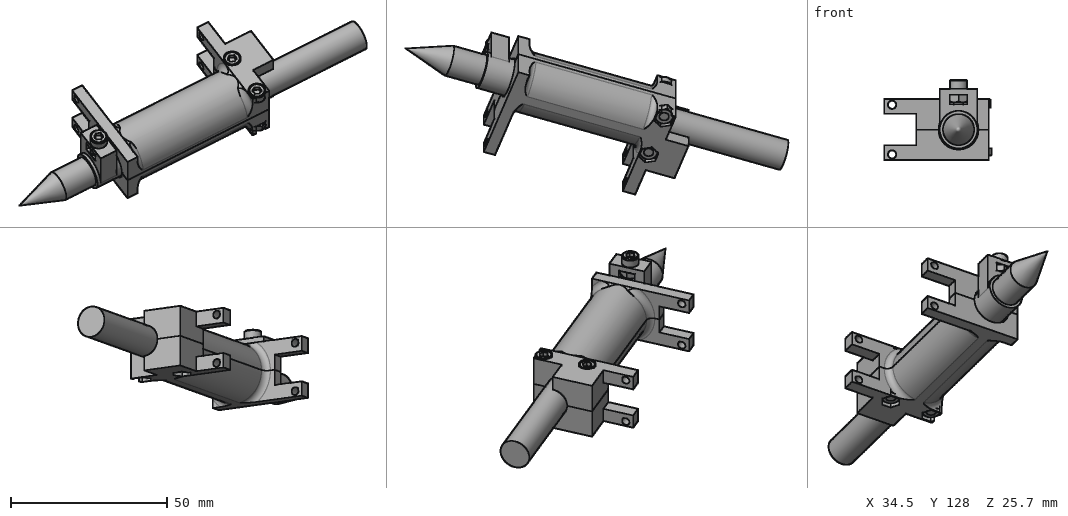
import cadquery as cq
import math


rod_radius = 5.0
rod_length = 128.0
cone_length = 14.7

barrel_radius = 9.9
housing_top = barrel_radius
housing_bottom = -9.7
housing_right = 9.7
housing_left = -23.8
front_plate_start = 34.8
front_plate_end = 38.7
rear_plate_start = 81.9
rear_ear_end = rear_plate_start + 4.2
rear_lug_end = 88.2
rear_block_end = 95.9
notch_left = -13.6
notch_half_height = 5.0
fillet_radius = 2.0
crown_slope = 20
fade_angle = math.acos(housing_top / (barrel_radius + fillet_radius))

ear_hole_diameter = 2.5
ear_hole_inset = 2.5
ear_hole_z = 8.0

head_radius = 2.75
head_height = 3.0
head_chamfer = 0.4
shank_radius = 1.5
socket_width = 2.5
socket_depth = 1.5
nut_width = 5.5
nut_height = 2.4
nut_chamfer = 0.4
clamp_screw_x = 7.5
clamp_screw_y = 85.0
clamp_nut_top = -5.9

collar_start = 25.9
collar_radius = 6.0
collar_hole_radius = 6.4
tower_start = 27.0
tower_depth = 6.0
tower_top = 13.0
slot_top = 11.1
slot_height = 3.1
tower_y = tower_start + tower_depth / 2

HEX_SIDES = 6
hex_corner_ratio = 1 / math.cos(math.pi / HEX_SIDES)


def block(x0, x1, y0, y1, z0, z1):
    """Box between two opposite corners."""
    return cq.Workplane("XY").box(x1 - x0, y1 - y0, z1 - z0, centered=False).translate((x0, y0, z0))


def cylinder_along_y(radius, y0, y1):
    """Cylinder on the rod axis from y0 to y1."""
    return cq.Workplane("XZ", origin=(0, y0, 0)).circle(radius).extrude(y0 - y1)


def cylinder_along_z(radius, x, y, z0, z1):
    """Upright cylinder from z0 to z1."""
    return cq.Workplane("XY", origin=(x, y, z0)).circle(radius).extrude(z1 - z0)


def hex_along_z(width, x, y, z0, z1, turn=0):
    """Upright hexagonal prism, with corners along X before it is turned about its own axis."""
    prism = cq.Workplane("XY").polygon(HEX_SIDES, width * hex_corner_ratio).extrude(z1 - z0)
    return prism.rotate((0, 0, 0), (0, 0, 1), turn).translate((x, y, z0))


def make_rod():
    """Round rod turned to a point at its front end."""
    outline = [(0, 0), (rod_radius, cone_length), (rod_radius, rod_length), (0, rod_length)]
    return cq.Workplane("XY").polyline(outline).close().revolve(360, (0, 0, 0), (0, 1, 0))


def make_crown_clearance():
    """V-shaped space over the barrel crown, where the flare leaves the barrel bare."""
    end = front_plate_end + fillet_radius
    middle_x = barrel_radius * math.sin(fade_angle / 2)
    middle_drop = housing_top - (barrel_radius + fillet_radius) * math.cos(fade_angle / 2)
    middle_y = front_plate_end + math.sqrt(fillet_radius**2 - middle_drop**2)
    end_x = barrel_radius * math.sin(fade_angle)
    return (
        cq.Workplane("XY")
        .moveTo(0, front_plate_end)
        .threePointArc((middle_x, middle_y), (end_x, end))
        .lineTo(-end_x, end)
        .threePointArc((-middle_x, middle_y), (0, front_plate_end))
        .close()
        .extrude(housing_top)
    )


def make_flare():
    """Fillet between barrel and front plate, sloping down from the plate's top edge."""
    end = front_plate_end + fillet_radius
    arc_reach = fillet_radius * (1 - math.sqrt(0.5))
    ring = (
        cq.Workplane("XY")
        .moveTo(0, front_plate_end)
        .lineTo(barrel_radius + fillet_radius, front_plate_end)
        .threePointArc(
            (barrel_radius + arc_reach, front_plate_end + arc_reach), (barrel_radius, end)
        )
        .lineTo(0, end)
        .close()
        .revolve(360, (0, 0, 0), (0, 1, 0))
    )
    end_top = housing_top - fillet_radius * math.tan(math.radians(crown_slope))
    limit = (
        cq.Workplane("YZ", origin=(housing_left, 0, 0))
        .moveTo(front_plate_end, housing_bottom)
        .lineTo(front_plate_end, housing_top)
        .lineTo(end, end_top)
        .lineTo(end, housing_bottom)
        .close()
        .extrude(housing_right - housing_left)
    )
    return ring.intersect(limit).cut(make_crown_clearance())


def make_housing():
    """Both housing halves in one piece, before the split and the screw holes."""
    front_plate = block(
        housing_left, housing_right, front_plate_start, front_plate_end, housing_bottom, housing_top
    )
    rear_plate = block(
        housing_left, housing_right, rear_plate_start, rear_ear_end, housing_bottom, housing_top
    )
    rear_lug = block(0, housing_right, rear_plate_start, rear_lug_end, housing_bottom, housing_top)
    rear_block = block(notch_left, 0, rear_plate_start, rear_block_end, housing_bottom, housing_top)
    barrel = cylinder_along_y(barrel_radius, front_plate_end, rear_plate_start)
    barrel_limit = block(
        housing_left, housing_right, front_plate_end, rear_plate_start, housing_bottom, housing_top
    )
    housing = front_plate.union(rear_plate).union(rear_lug).union(rear_block)
    housing = housing.union(barrel.intersect(barrel_limit))
    front_flare = make_flare()
    barrel_middle = (front_plate_end + rear_plate_start) / 2
    rear_flare = front_flare.mirror("XZ", (0, barrel_middle, 0))
    housing = housing.union(front_flare).union(rear_flare)
    notch = block(
        housing_left, notch_left, front_plate_start, rear_block_end, -notch_half_height, notch_half_height
    )
    ear_holes = (
        cq.Workplane("XZ", origin=(0, front_plate_start, 0))
        .pushPoints([(housing_left + ear_hole_inset, side * ear_hole_z) for side in (-1, 1)])
        .circle(ear_hole_diameter / 2)
        .extrude(front_plate_start - rear_block_end)
    )
    bore = cylinder_along_y(rod_radius, front_plate_start, rear_block_end)
    collar_hole = cylinder_along_y(collar_hole_radius, front_plate_start, front_plate_end)
    return housing.cut(notch).cut(ear_holes).cut(bore).cut(collar_hole)


def cut_clamp_screw(housing, x):
    """Shank hole, head counterbore at the top and nut pocket at the bottom."""
    shank_hole = cylinder_along_z(shank_radius, x, clamp_screw_y, housing_bottom, housing_top)
    counterbore = cylinder_along_z(
        head_radius, x, clamp_screw_y, housing_top - head_height, housing_top
    )
    nut_pocket = hex_along_z(nut_width, x, clamp_screw_y, housing_bottom, clamp_nut_top)
    return housing.cut(shank_hole).cut(counterbore).cut(nut_pocket)


def make_collar():
    """Ring on the rod with a tower that holds the set screw and its nut."""
    ring = cylinder_along_y(collar_radius, collar_start, front_plate_end)
    tower = block(
        -collar_radius, collar_radius, tower_start, tower_start + tower_depth, 0, tower_top
    )
    nut_slot = block(
        -nut_width / 2, nut_width / 2,
        tower_start, tower_start + tower_depth,
        slot_top - slot_height, slot_top,
    )
    bore = cylinder_along_y(rod_radius, collar_start, front_plate_end)
    screw_hole = cylinder_along_z(shank_radius, 0, tower_y, 0, tower_top)
    return ring.union(tower).cut(nut_slot).cut(bore).cut(screw_hole)


def make_screw(x, y, head_base, tip):
    """Cap screw with a hex socket, pointing down."""
    head_top = head_base + head_height
    head = cylinder_along_z(head_radius, x, y, head_base, head_top).faces(">Z").chamfer(head_chamfer)
    shank = cylinder_along_z(shank_radius, x, y, tip, head_base)
    socket = hex_along_z(socket_width, x, y, head_top - socket_depth, head_top)
    return head.union(shank).cut(socket)


def make_nut(x, y, top, turn=0):
    """Hex nut bored to the screw shank, its corners chamfered below."""
    base = top - nut_height
    nut = hex_along_z(nut_width, x, y, base, top, turn)
    corner_circle = cylinder_along_z(nut_width / 2 * hex_corner_ratio, x, y, base, top)
    nut = nut.intersect(corner_circle.faces("<Z").chamfer(nut_chamfer))
    return nut.cut(cylinder_along_z(shank_radius, x, y, base, top))


rod = make_rod()
collar = make_collar()
set_screw = make_screw(0, tower_y, tower_top, rod_radius)
set_nut = make_nut(0, tower_y, slot_top, turn=90)

housing = make_housing()
clamp_screws = []
clamp_nuts = []
for side in (-1, 1):
    screw_x = side * clamp_screw_x
    housing = cut_clamp_screw(housing, screw_x)
    clamp_screws.append(
        make_screw(screw_x, clamp_screw_y, housing_top - head_height, clamp_nut_top - nut_height)
    )
    clamp_nuts.append(make_nut(screw_x, clamp_screw_y, clamp_nut_top))

upper_space = block(
    housing_left, housing_right, front_plate_start, rear_block_end, 0, housing_top
)
upper_housing = housing.intersect(upper_space)
lower_housing = housing.cut(upper_space)

result = cq.Compound.makeCompound([
    rod.val(),
    upper_housing.val(),
    lower_housing.val(),
    collar.val(),
    set_screw.val(),
    set_nut.val(),
    *[screw.val() for screw in clamp_screws],
    *[nut.val() for nut in clamp_nuts],
])